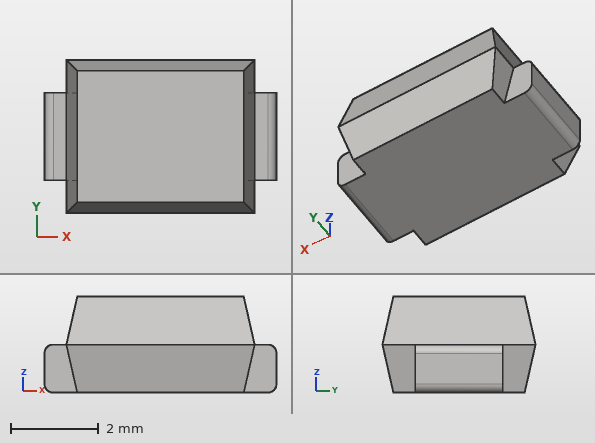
import cadquery as cq

body_length = 4.3
body_width = 3.5
body_height = 2.2
parting_height = body_height / 2
side_inset = 0.25

terminal_span = 5.3
terminal_width = 2.0
terminal_height = parting_height
terminal_radius = 0.2


def half_body(end_height):
    """Frustum from the parting plane to the smaller end face at end_height."""
    return (
        cq.Workplane("XY")
        .workplane(offset=parting_height)
        .rect(body_length, body_width)
        .workplane(offset=end_height - parting_height)
        .rect(body_length - 2 * side_inset, body_width - 2 * side_inset)
        .loft(ruled=True)
    )


def terminal_bar():
    """Bar resting on the bottom plane, with its four outer edges rounded."""
    return (
        cq.Workplane("XY")
        .box(terminal_span, terminal_width, terminal_height, centered=(True, True, False))
        .faces("<X or >X")
        .edges("|Y")
        .fillet(terminal_radius)
    )


upper_body = half_body(body_height)
lower_body = half_body(0)
result = upper_body.union(lower_body).union(terminal_bar())